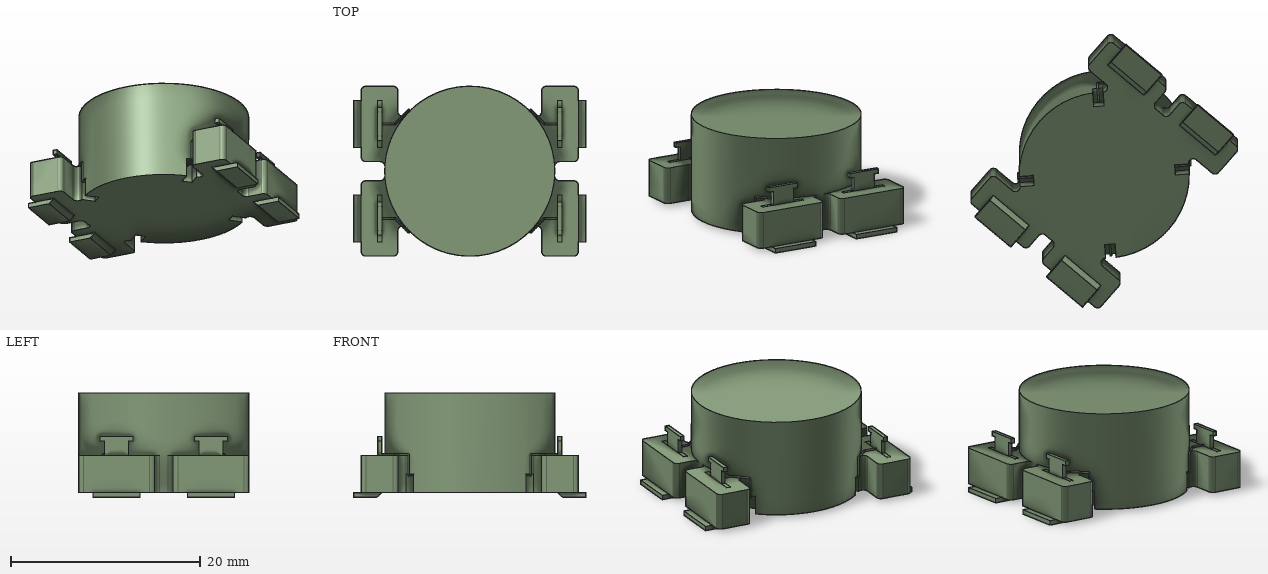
import cadquery as cq
import math

can_diameter = 18.0
can_height = 10.55
can_radius = can_diameter / 2
block_height = 3.95
block_outer_x = 11.5
block_inner_x = 7.6
block_outer_y = can_radius
block_inner_y = 1.0
block_corner_radius = 0.5
root_radius = 0.5

terminal_span_x = 24.55
terminal_center_y = (block_inner_y + block_outer_y) / 2
foot_thickness = 0.5
blade_thickness = 0.45
blade_inner_x = 9.3
blade_outer_x = blade_inner_x + blade_thickness
foot_tip_x = terminal_span_x / 2
blade_width = 5.0
stem_width = 2.5
head_width = 3.5
head_height = 0.5
post_top_z = 5.95
bend_run = 0.55

wire_diameter = 0.2
wire_radius = wire_diameter / 2
wire_distance = 9.13
wire_bend_radius = 0.13
wire_top_z = block_height + wire_radius
slot_width = 1.1
slot_depth = 1.5
slot_height = 2.0
wire_entry_z = 1.85

QUADRANTS = [(sx, sy) for sx in (1, -1) for sy in (1, -1)]


def in_quadrant(body, sx, sy):
    """Mirror a body modelled in the +X +Y quadrant into the quadrant with these signs."""
    if sx < 0:
        body = body.mirror("YZ")
    if sy < 0:
        body = body.mirror("XZ")
    return body


def make_block():
    """One terminal block, reaching into the can, with root fillets tangent to the can."""
    center_distance = can_radius + root_radius
    shrink = can_radius / center_distance

    low_center_y = block_inner_y - root_radius
    low_center_x = math.sqrt(center_distance**2 - low_center_y**2)
    low_can_point = (low_center_x * shrink, low_center_y * shrink)

    high_center_x = block_inner_x - root_radius
    high_center_y = math.sqrt(center_distance**2 - high_center_x**2)
    high_can_point = (high_center_x * shrink, high_center_y * shrink)

    inside_point = (block_inner_x - 2 * root_radius, block_inner_y - root_radius)

    block = (
        cq.Workplane("XY")
        .moveTo(*inside_point)
        .lineTo(*low_can_point)
        .radiusArc((low_center_x, block_inner_y), root_radius)
        .lineTo(block_outer_x, block_inner_y)
        .lineTo(block_outer_x, block_outer_y)
        .lineTo(block_inner_x, block_outer_y)
        .lineTo(block_inner_x, high_center_y)
        .radiusArc(high_can_point, root_radius)
        .close()
        .extrude(block_height)
    )
    rounded_corners = (
        (block_outer_x, block_inner_y),
        (block_outer_x, block_outer_y),
        (block_inner_x, block_outer_y),
    )
    for x, y in rounded_corners:
        block = block.edges(cq.selectors.NearestToPointSelector((x, y, block_height / 2)))
        block = block.fillet(block_corner_radius)
    return block


def make_terminal():
    """Bent foot and blade, with shoulders level with the block top and a T-shaped post."""
    foot_and_blade = (
        cq.Workplane("XZ", origin=(0, terminal_center_y, 0))
        .moveTo(foot_tip_x, -foot_thickness)
        .lineTo(foot_tip_x, 0)
        .lineTo(blade_outer_x, 0)
        .lineTo(blade_outer_x, block_height)
        .lineTo(blade_inner_x, block_height)
        .lineTo(blade_inner_x, 0)
        .lineTo(blade_inner_x + bend_run, -foot_thickness)
        .close()
        .extrude(blade_width / 2, both=True)
    )
    blade_center_x = (blade_inner_x + blade_outer_x) / 2
    stem_height = post_top_z - block_height
    centered = (True, True, False)
    stem = (
        cq.Workplane("XY", origin=(blade_center_x, terminal_center_y, block_height))
        .box(blade_thickness, stem_width, stem_height, centered=centered)
    )
    head = (
        cq.Workplane("XY", origin=(blade_center_x, terminal_center_y, post_top_z - head_height))
        .box(blade_thickness, head_width, head_height, centered=centered)
    )
    return foot_and_blade.union(stem).union(head)


def make_wire():
    """Round wire: straight off the post, diagonally along the can, down and into its slot."""
    diagonal_sum = wire_distance * math.sqrt(2)
    drop = diagonal_sum / 2
    end = (can_radius - slot_depth) / math.sqrt(2)
    lean = math.sqrt(0.5)
    middle = wire_bend_radius * (1 - math.sqrt(0.5))

    post_point = cq.Vector(blade_inner_x, terminal_center_y, wire_top_z)
    mitre_point = cq.Vector(diagonal_sum - terminal_center_y, terminal_center_y, wire_top_z)
    top_corner = cq.Vector(drop, drop, wire_top_z)
    low_corner = cq.Vector(drop, drop, wire_entry_z)
    end_point = cq.Vector(end, end, wire_entry_z)
    down = cq.Vector(0, 0, -1)
    back = cq.Vector(lean, -lean, 0)
    inward = cq.Vector(-lean, -lean, 0)

    top_bend_start = top_corner + back * wire_bend_radius
    top_bend_end = top_corner + down * wire_bend_radius
    low_bend_start = low_corner - down * wire_bend_radius
    low_bend_end = low_corner + inward * wire_bend_radius
    path = cq.Wire.assembleEdges([
        cq.Edge.makeLine(post_point, mitre_point),
        cq.Edge.makeLine(mitre_point, top_bend_start),
        cq.Edge.makeThreePointArc(top_bend_start, top_corner + (back + down) * middle, top_bend_end),
        cq.Edge.makeLine(top_bend_end, low_bend_start),
        cq.Edge.makeThreePointArc(low_bend_start, low_corner + (inward - down) * middle, low_bend_end),
        cq.Edge.makeLine(low_bend_end, end_point),
    ])
    start_plane = cq.Plane(post_point, (0, 1, 0), (-1, 0, 0))
    return cq.Workplane(start_plane).circle(wire_radius).sweep(path, transition="right")


def make_slot():
    """Cutter for the wire slot: open at the bottom, pointing at the can axis at 45 degrees."""
    slot_length = slot_depth + wire_diameter
    return (
        cq.Workplane("XY")
        .center(can_radius - slot_depth + slot_length / 2, 0)
        .rect(slot_length, slot_width)
        .extrude(slot_height)
        .rotate((0, 0, 0), (0, 0, 1), 45)
    )


def make_housing(terminals):
    """Can and blocks in one piece, with wire slots and a close-fitting hole for each terminal."""
    housing = cq.Workplane("XY").circle(can_radius).extrude(can_height)
    block = make_block()
    slot = make_slot()
    for sx, sy in QUADRANTS:
        housing = housing.union(in_quadrant(block, sx, sy))
    for sx, sy in QUADRANTS:
        housing = housing.cut(in_quadrant(slot, sx, sy))
    for terminal in terminals:
        housing = housing.cut(terminal)
    return housing


terminals = [in_quadrant(make_terminal(), sx, sy) for sx, sy in QUADRANTS]
wires = [in_quadrant(make_wire(), sx, sy) for sx, sy in QUADRANTS]
housing = make_housing(terminals)

result = cq.Compound.makeCompound(
    [housing.val()]
    + [terminal.val() for terminal in terminals]
    + [wire.val() for wire in wires]
)